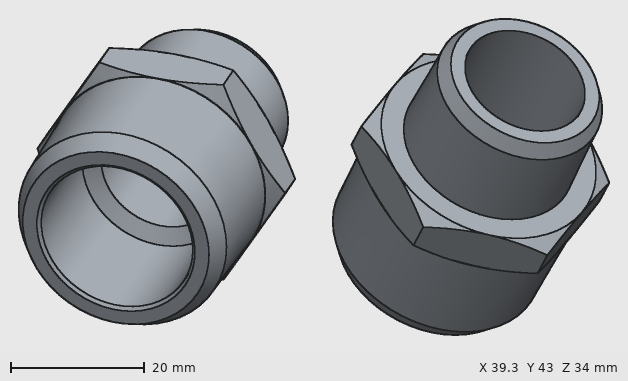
import cadquery as cq
import math

length = 43.0
large_lead_in = 3.0
hex_start = 19.05
hex_width = 7.5
hex_end = hex_start + hex_width
small_lead_in = 2.4

large_tip_radius = 14.75
large_front_radius = 16.45
large_root_radius = 16.95
small_root_radius = 13.45
small_front_radius = 13.07
small_tip_radius = 11.75

across_flats = 34.0
across_corners = across_flats / math.cos(math.pi / 6)
hex_chamfer_angle = math.radians(30)

large_bore_radius = 12.0
small_bore_radius = 9.5
mouth_chamfer = 0.5
large_bore_depth = hex_start
bore_cone_angle = math.radians(60)
bore_cone_length = (large_bore_radius - small_bore_radius) / math.tan(bore_cone_angle)


def revolve_profile(points):
    """Revolve (radius, station) points around Y, closing the profile on the axis."""
    profile = [(0, points[0][1])] + points + [(0, points[-1][1])]
    return cq.Workplane("XY").polyline(profile).close().revolve(360, (0, 0), (0, 1))


def make_hexagon():
    """Hexagonal collar with its corners turned off by a cone on both faces."""
    prism = (
        cq.Workplane("XZ", origin=(0, hex_end, 0))
        .polygon(6, across_corners)
        .extrude(hex_width)
    )
    flat_radius = across_flats / 2
    corner_radius = across_corners / 2
    corner_drop = (corner_radius - flat_radius) * math.tan(hex_chamfer_angle)
    envelope = revolve_profile([
        (flat_radius, hex_start),
        (corner_radius, hex_start + corner_drop),
        (corner_radius, hex_end - corner_drop),
        (flat_radius, hex_end),
    ])
    return prism.intersect(envelope)


large_end = revolve_profile([
    (large_tip_radius, 0),
    (large_front_radius, large_lead_in),
    (large_root_radius, hex_start),
    (large_root_radius, hex_end),
])
small_end = revolve_profile([
    (small_root_radius, hex_start),
    (small_root_radius, hex_end),
    (small_front_radius, length - small_lead_in),
    (small_tip_radius, length),
])
bore = revolve_profile([
    (large_bore_radius + mouth_chamfer, 0),
    (large_bore_radius, mouth_chamfer),
    (large_bore_radius, large_bore_depth),
    (small_bore_radius, large_bore_depth + bore_cone_length),
    (small_bore_radius, length),
])

centred = (0, -length / 2, 0)
result = make_hexagon().union(large_end).union(small_end).cut(bore).translate(centred)